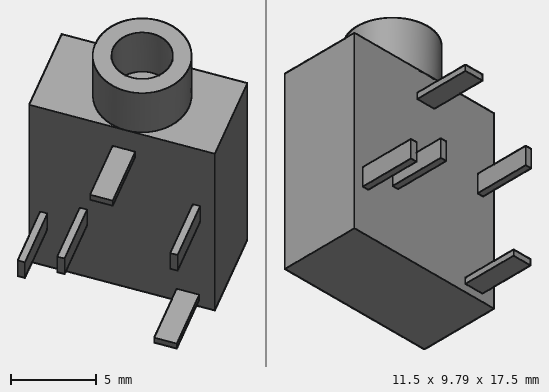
import cadquery as cq

body_width = 11.5
body_depth = 5.79
total_height = 17.54
barrel_height = 3.5
body_height = total_height - barrel_height

barrel_diameter = body_depth
bore_diameter = 3.6
bore_depth = barrel_height
barrel_x = body_width / 2 + 0.25

total_depth = 9.79
pin_length = total_depth - body_depth
pin_width = 1.4
pin_thickness = 0.45

flat_pins = [(5.88, 12.1), (9.84, 0.82)]
upright_pins = [(10.37, 8.3), (3.37, 5.31), (0.91, 4.03)]


def make_pins(centres, size_x, size_z):
    """Rectangular pins running from the body face out to -Y."""
    return cq.Workplane("XZ").pushPoints(centres).rect(size_x, size_z).extrude(pin_length)


body = cq.Workplane("XY").box(body_width, body_depth, body_height, centered=False)

barrel = (
    cq.Workplane("XY", origin=(barrel_x, body_depth / 2, body_height))
    .circle(barrel_diameter / 2)
    .extrude(barrel_height)
)

bore = (
    cq.Workplane("XY", origin=(barrel_x, body_depth / 2, total_height))
    .circle(bore_diameter / 2)
    .extrude(-bore_depth)
)

result = (
    body.union(barrel)
    .cut(bore)
    .union(make_pins(flat_pins, pin_width, pin_thickness))
    .union(make_pins(upright_pins, pin_thickness, pin_width))
)